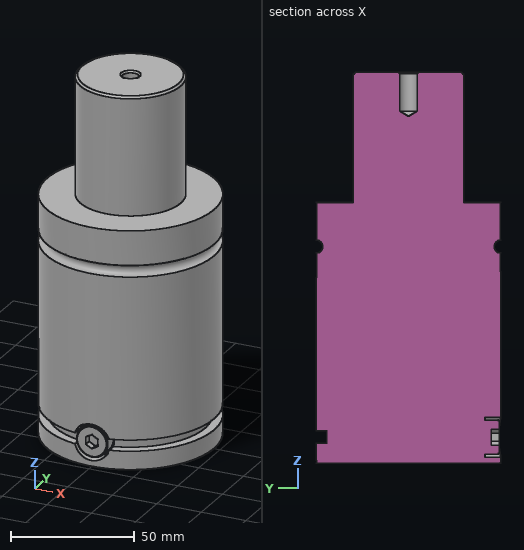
import cadquery as cq
import math

total_height = 159.0
body_diameter = 75.0
body_height = 106.0
rod_diameter = 45.0
rod_chamfer = 1.0

round_groove_center_z = 88.1
round_groove_radius = 2.5

base_groove_bottom_z = 8.3
base_groove_top_z = 13.2
base_groove_diameter = 67.0

rod_hole_diameter = 6.8
rod_hole_mouth_diameter = 8.5
rod_hole_depth = 15.9
drill_point_angle = 118.0

port_z = 10.7
port_diameter = 16.0
plug_diameter = 14.0
port_depth = 6.4
plug_face_depth = 0.6
plug_chamfer = 0.5
socket_across_flats = 5.4
socket_depth = 3.2

body_radius = body_diameter / 2
plug_face_y = -body_radius + plug_face_depth


def upright_cylinder(diameter, bottom_z, top_z):
    return cq.Workplane("XY").workplane(offset=bottom_z).circle(diameter / 2).extrude(top_z - bottom_z)


def port_plane(y):
    """Plane across the port axis at the given Y, with its normal pointing inward (+Y)."""
    return cq.Workplane(cq.Plane(origin=(0, y, port_z), xDir=(1, 0, 0), normal=(0, 1, 0)))


def make_body():
    round_groove = (
        cq.Workplane("XZ")
        .center(body_radius, round_groove_center_z)
        .circle(round_groove_radius)
        .revolve(360, (-body_radius, 0, 0), (-body_radius, 1, 0))
    )
    base_groove = upright_cylinder(body_diameter, base_groove_bottom_z, base_groove_top_z).cut(
        upright_cylinder(base_groove_diameter, base_groove_bottom_z, base_groove_top_z)
    )
    return upright_cylinder(body_diameter, 0, body_height).cut(round_groove).cut(base_groove)


def make_rod():
    return upright_cylinder(rod_diameter, body_height, total_height).faces(">Z").chamfer(rod_chamfer)


def make_rod_hole():
    """Drilled hole with a 90 degree countersink at the mouth and a conical bottom."""
    hole_radius = rod_hole_diameter / 2
    mouth_radius = rod_hole_mouth_diameter / 2
    bottom_z = total_height - rod_hole_depth
    tip_height = hole_radius / math.tan(math.radians(drill_point_angle / 2))
    return (
        cq.Workplane("XZ")
        .moveTo(0, total_height)
        .lineTo(mouth_radius, total_height)
        .lineTo(hole_radius, total_height - (mouth_radius - hole_radius))
        .lineTo(hole_radius, bottom_z)
        .lineTo(0, bottom_z - tip_height)
        .close()
        .revolve(360, (0, 0, 0), (0, 1, 0))
    )


def add_port(part):
    port = port_plane(-body_radius).circle(port_diameter / 2).extrude(port_depth)
    plug = port_plane(plug_face_y).circle(plug_diameter / 2).extrude(port_depth)
    plug = plug.faces("<Y").chamfer(plug_chamfer)
    socket_corner_diameter = socket_across_flats / math.cos(math.pi / 6)
    socket = (
        port_plane(plug_face_y)
        .transformed(rotate=(0, 0, 90))
        .polygon(6, socket_corner_diameter)
        .extrude(socket_depth)
    )
    return part.cut(port).union(plug).cut(socket)


result = add_port(make_body().union(make_rod()).cut(make_rod_hole()))